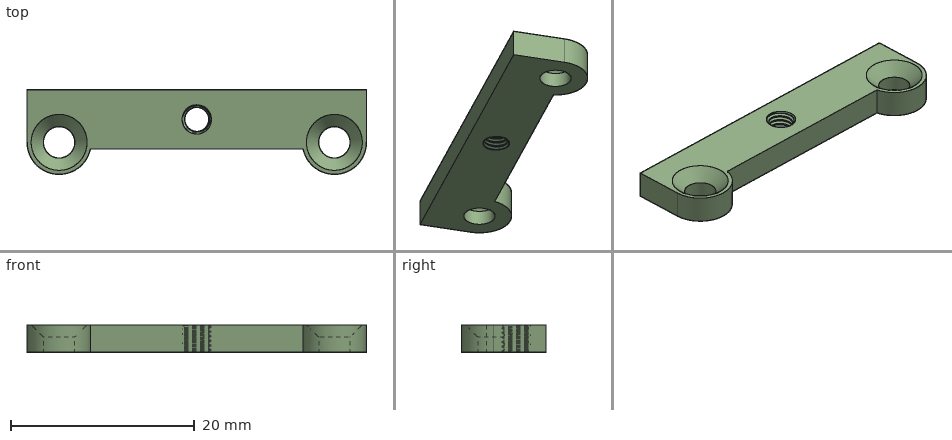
import cadquery as cq
import math

length = 37.0
thickness = 3.0
bar_width = 6.5
ear_radius = 3.5
total_width = 9.25
ear_x = length / 2 - ear_radius
bar_back_y = bar_width / 2
bar_front_y = -bar_width / 2
ear_y = bar_back_y - total_width + ear_radius
neck_x = ear_x - math.sqrt(ear_radius**2 - (bar_front_y - ear_y) ** 2)

screw_hole_diameter = 3.4
countersink_diameter = 6.1
countersink_angle = 90.0

thread_minor_diameter = 2.6
thread_major_diameter = 3.1
thread_pitch = 0.5
thread_root_flat = thread_pitch / 8
thread_mouth_width = 0.44
thread_start_angle = 180.0
lead_in_diameter = 3.2
bore_overrun = 2.0
cutter_overlap = 0.05


def make_body():
    """Strip with square back corners and an ear, rounded toward -Y, at each end."""
    half_length = length / 2
    return (
        cq.Workplane("XY")
        .moveTo(-half_length, bar_back_y)
        .lineTo(-half_length, ear_y)
        .threePointArc((-ear_x, ear_y - ear_radius), (-neck_x, bar_front_y))
        .lineTo(neck_x, bar_front_y)
        .threePointArc((ear_x, ear_y - ear_radius), (half_length, ear_y))
        .lineTo(half_length, bar_back_y)
        .close()
        .extrude(thickness)
    )


def cut_screw_holes(body):
    """Countersunk clearance holes, concentric with the ears."""
    return (
        body.faces(">Z")
        .workplane(origin=(0, 0, thickness))
        .pushPoints([(-ear_x, ear_y), (ear_x, ear_y)])
        .cskHole(screw_hole_diameter, countersink_diameter, countersink_angle)
    )


def thread_cutter():
    """Helical flat-bottomed V groove that runs out past both ends of the threaded hole."""
    minor_radius = thread_minor_diameter / 2
    major_radius = thread_major_diameter / 2
    inner_radius = minor_radius - cutter_overlap
    start_z = -thread_pitch
    helix_height = thickness + 2 * thread_pitch
    helix = cq.Wire.makeHelix(thread_pitch, helix_height, minor_radius, center=cq.Vector(0, 0, start_z))
    profile = (
        cq.Workplane("XZ")
        .polyline(
            [
                (inner_radius, start_z - thread_mouth_width / 2),
                (major_radius, start_z - thread_root_flat / 2),
                (major_radius, start_z + thread_root_flat / 2),
                (inner_radius, start_z + thread_mouth_width / 2),
            ]
        )
        .close()
    )
    groove = profile.sweep(cq.Workplane(obj=helix), isFrenet=True)
    return groove.rotate((0, 0, 0), (0, 0, 1), thread_start_angle)


def cut_threaded_hole(body):
    """Tapped through hole with a 45 degree lead-in at the top face."""
    minor_radius = thread_minor_diameter / 2
    lead_in_radius = lead_in_diameter / 2
    lead_in_start_z = thickness - (lead_in_radius - minor_radius)
    bore = (
        cq.Workplane("XY")
        .workplane(offset=-bore_overrun)
        .circle(minor_radius)
        .extrude(thickness + 2 * bore_overrun)
    )
    lead_in = (
        cq.Workplane("XZ")
        .moveTo(0, lead_in_start_z)
        .lineTo(minor_radius, lead_in_start_z)
        .lineTo(lead_in_radius, thickness)
        .lineTo(0, thickness)
        .close()
        .revolve(360, (0, 0), (0, 1))
    )
    return body.cut(bore.union(thread_cutter())).cut(lead_in)


result = cut_threaded_hole(cut_screw_holes(make_body()))